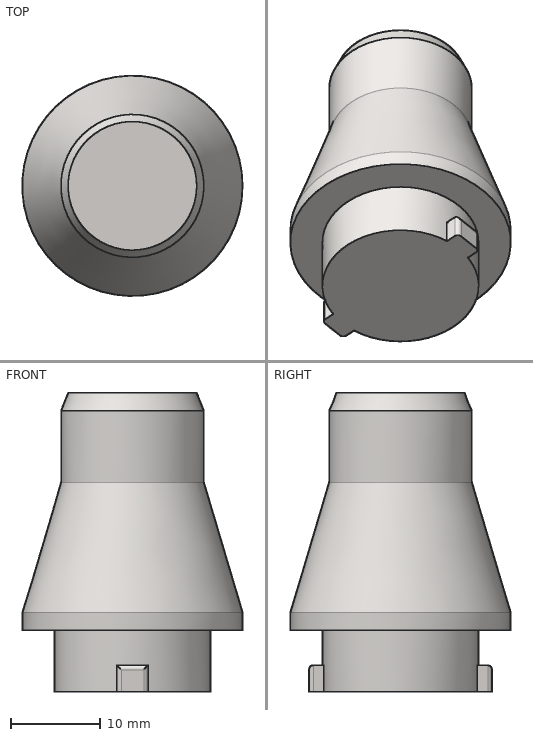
import cadquery as cq

spigot_diameter = 17.5
flange_diameter = 24.7
neck_diameter = 16.0
top_diameter = 14.4

spigot_length = 6.9
flange_thickness = 2.0
cone_length = 14.6
neck_length = 8.0
tip_length = 2.0

lug_span = 20.5
lug_width = 3.5
lug_height = 3.0
lug_fillet = 0.5

flange_bottom = spigot_length
flange_top = flange_bottom + flange_thickness
cone_top = flange_top + cone_length
neck_top = cone_top + neck_length
part_top = neck_top + tip_length


def turned_body():
    """Spigot, flange, cone, neck and tapered tip revolved about Z."""
    return (
        cq.Workplane("XZ")
        .moveTo(0, 0)
        .lineTo(spigot_diameter / 2, 0)
        .lineTo(spigot_diameter / 2, flange_bottom)
        .lineTo(flange_diameter / 2, flange_bottom)
        .lineTo(flange_diameter / 2, flange_top)
        .lineTo(neck_diameter / 2, cone_top)
        .lineTo(neck_diameter / 2, neck_top)
        .lineTo(top_diameter / 2, part_top)
        .lineTo(0, part_top)
        .close()
        .revolve(360, (0, 0, 0), (0, 1, 0))
    )


def lug_bar():
    """Bar through the spigot whose two rounded ends stand out as lugs along Y."""
    bar = cq.Workplane("XY").box(lug_width, lug_span, lug_height, centered=(True, True, False))
    return bar.faces("<Y or >Y").edges("|Z or >Z").fillet(lug_fillet)


result = turned_body().union(lug_bar())